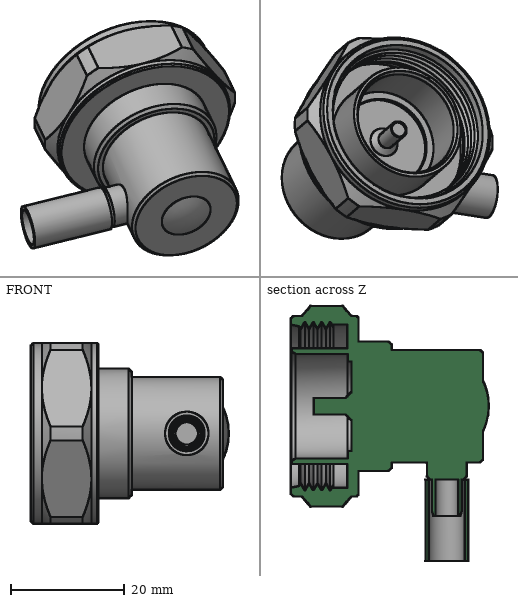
import cadquery as cq
import math


nut_radius = 16.0
nut_length = 12.0
nut_front_chamfer = 0.5
nut_rear_chamfer = 0.3
hex_corner_radius = 17.8
hex_front = 2.0
hex_rear = 10.75
hex_bevel_length = 1.55

thread_minor_radius = 13.6
thread_pitch = 1.5
thread_turns = 4
thread_groove_depth = thread_pitch / 2 * math.sqrt(3)
lead_in_radius = 14.4
lead_in_end_radius = 14.1
lead_in_length = 1.5
relief_radius = 14.4
relief_start = 7.6
cavity_end = 10.0

flange_radius = 11.5
flange_end = 17.9
flange_chamfer = 0.6
body_radius = 10.0
body_end = 34.05
body_chamfer = 0.5
dome_radius = 4.55
dome_height = 1.05

contact_radius = 10.25
contact_front = 0.2
contact_lip_radius = 9.63
contact_lip_depth = 0.72
contact_bore_radius = 9.2
contact_bore_end = 10.08
recess_radius = 7.9
recess_end = 10.75
pin_front = 4.0
pin_radius = 1.5
pin_dish_radius = 1.3
pin_dish_depth = 0.1
pin_base_radius = 2.58
pin_flare_length = 1.05

outlet_x = 27.6
collar_radius = 3.55
collar_end = 12.4
collar_bevel = 0.6
stub_radius = 2.65
stub_end = 19.45
stub_tip_radius = 2.4
stub_taper_length = 0.9
stub_bore_radius = 2.0

sleeve_radius = 3.85
sleeve_bore_radius = 3.15
sleeve_end = 27.4
sleeve_start = collar_end + collar_bevel


def turned(points):
    """Revolve an (x, radius) outline around the X axis."""
    return cq.Workplane("XY").polyline(points).close().revolve(360, (0, 0, 0), (1, 0, 0))


def outlet_cylinder(radius, start, end):
    """Cylinder on the outlet axis between two distances from the connector axis."""
    plane = cq.Workplane("XZ", origin=(outlet_x, -start, 0))
    return plane.circle(radius).extrude(end - start)


def make_hexagon():
    corner_diameter = 2 * nut_radius / math.cos(math.pi / 6)
    prism = (
        cq.Workplane("YZ", origin=(hex_front, 0, 0))
        .polygon(6, corner_diameter)
        .extrude(hex_rear - hex_front)
    )
    envelope = turned([
        (hex_front, 0),
        (hex_front, nut_radius),
        (hex_front + hex_bevel_length, hex_corner_radius),
        (hex_rear - hex_bevel_length, hex_corner_radius),
        (hex_rear, nut_radius),
        (hex_rear, 0),
    ])
    return prism.intersect(envelope)


def make_nut_cavity():
    """Lead-in, ring-shaped V grooves of the thread, and the plain relief behind them."""
    thread_start = lead_in_length + (lead_in_end_radius - thread_minor_radius) / math.sqrt(3)
    outline = [
        (0, 0),
        (0, lead_in_radius),
        (lead_in_length, lead_in_end_radius),
        (thread_start, thread_minor_radius),
    ]
    for turn in range(thread_turns):
        crest = thread_start + turn * thread_pitch
        outline.append((crest + thread_pitch / 2, thread_minor_radius + thread_groove_depth))
        outline.append((crest + thread_pitch, thread_minor_radius))
    thread_end = thread_start + thread_turns * thread_pitch
    outline.append((thread_end, 0))
    relief = turned([
        (relief_start, 0),
        (relief_start, relief_radius),
        (cavity_end, relief_radius),
        (cavity_end, 0),
    ])
    return turned(outline).union(relief)


def make_nut():
    ends = turned([
        (0, 0),
        (0, nut_radius - nut_front_chamfer),
        (nut_front_chamfer, nut_radius),
        (nut_length - nut_rear_chamfer, nut_radius),
        (nut_length, nut_radius - nut_rear_chamfer),
        (nut_length, 0),
    ])
    return ends.union(make_hexagon()).cut(make_nut_cavity())


def make_body():
    """Outer contact, flange and cylindrical body with its domed end, solid inside."""
    outline = (
        cq.Workplane("XY")
        .moveTo(contact_front, 0)
        .lineTo(contact_front, contact_radius)
        .lineTo(nut_length, contact_radius)
        .lineTo(nut_length, flange_radius)
        .lineTo(flange_end - flange_chamfer, flange_radius)
        .lineTo(flange_end, flange_radius - flange_chamfer)
        .lineTo(flange_end, body_radius)
        .lineTo(body_end - body_chamfer, body_radius)
        .lineTo(body_end, body_radius - body_chamfer)
        .lineTo(body_end, dome_radius)
    )
    sphere_radius = (dome_radius**2 + dome_height**2) / (2 * dome_height)
    sphere_centre = body_end + dome_height - sphere_radius
    half_angle = math.asin(dome_radius / sphere_radius) / 2
    arc_middle = (
        sphere_centre + sphere_radius * math.cos(half_angle),
        sphere_radius * math.sin(half_angle),
    )
    outline = outline.threePointArc(arc_middle, (body_end + dome_height, 0)).close()
    return outline.revolve(360, (0, 0, 0), (1, 0, 0))


def make_contact_bore():
    return turned([
        (contact_front, 0),
        (contact_front, contact_lip_radius),
        (contact_front + contact_lip_depth, contact_bore_radius),
        (contact_bore_end, contact_bore_radius),
        (contact_bore_end, recess_radius),
        (recess_end, recess_radius),
        (recess_end, 0),
    ])


def make_pin():
    return turned([
        (pin_front + pin_dish_depth, 0),
        (pin_front + pin_dish_depth, pin_dish_radius),
        (pin_front, pin_radius),
        (recess_end - pin_flare_length, pin_radius),
        (recess_end, pin_base_radius),
        (recess_end, 0),
    ])


def make_outlet():
    """Bevelled collar and the hollow stub inside the sleeve."""
    collar = outlet_cylinder(collar_radius, 0, sleeve_start).faces("<Y").chamfer(collar_bevel)
    stub = outlet_cylinder(stub_radius, 0, stub_end)
    stub = stub.faces("<Y").chamfer(stub_taper_length, stub_radius - stub_tip_radius)
    return collar.union(stub)


def make_connector():
    shell = make_nut().union(make_body()).union(make_outlet())
    connector = shell.cut(make_contact_bore()).union(make_pin())
    return connector.cut(outlet_cylinder(stub_bore_radius, sleeve_start, stub_end))


def make_sleeve():
    sleeve = outlet_cylinder(sleeve_radius, sleeve_start, sleeve_end)
    return sleeve.cut(outlet_cylinder(sleeve_bore_radius, sleeve_start, sleeve_end))


connector = make_connector()
sleeve = make_sleeve()
result = cq.Compound.makeCompound([connector.val(), sleeve.val()])